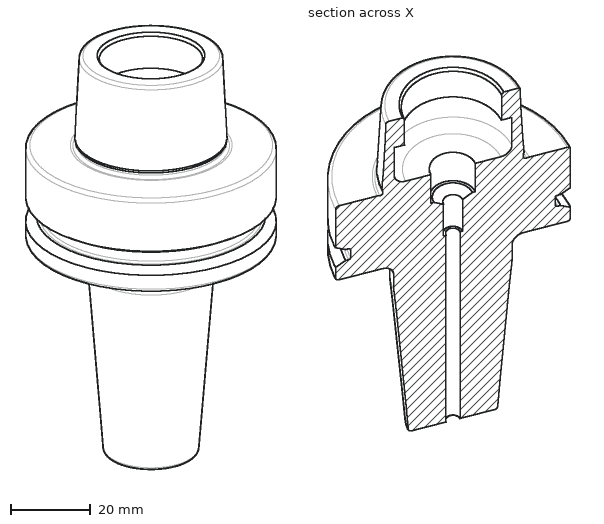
import cadquery as cq
import math

total_height = 110.0
z_top = 25.0
z_bottom = z_top - total_height

flange_diameter = 63.0
flange_radius = flange_diameter / 2
flange_height = 26.0
flange_round = 1.0
groove_radius = 27.5
groove_center_z = -17.8
groove_mouth_width = 6.7
groove_slot_width = 3.6
groove_slot_radius = 28.8
groove_fillet = 0.5

neck_top_radius = 18.0
neck_base_radius = 19.1
neck_top_round = 0.9
neck_taper_end_z = 2.0
relief_radius = 18.9
relief_top_z = 1.3
relief_bottom_z = 0.8
dish_radius = 20.4
dish_inner_radius = 19.7
dish_depth = 0.1

shank_radius = 16.0
shank_tip_radius = 12.0
shank_taper_start_z = -34.1
shank_root_fillet = 3.0
shank_tip_round = 1.0

lip_radius = 13.0
lip_depth = 9.8
lip_chamfer_width = 0.5
lip_chamfer_depth = 0.9
chamber_radius = 15.7
chamber_depth = 22.3
chamber_fillet = 3.0

socket_radius = 5.9
socket_depth = 9.9
funnel_radius = 5.2
funnel_angle = 59.0
pilot_radius = 2.5
pilot_depth = 11.0
through_radius = 1.9


def outer_body():
    """Revolve the outer outline, including the flange groove and rounded rims."""
    diagonal = math.sqrt(0.5)
    groove_mouth_top = groove_center_z + groove_mouth_width / 2
    groove_mouth_bottom = groove_center_z - groove_mouth_width / 2
    slot_top = groove_center_z + groove_slot_width / 2
    slot_bottom = groove_center_z - groove_slot_width / 2
    flange_bottom_z = -flange_height

    root_r = shank_radius + shank_root_fillet
    root_z = flange_bottom_z - shank_root_fillet

    outline = (
        cq.Workplane("XZ")
        .moveTo(0, z_bottom)
        .lineTo(shank_tip_radius, z_bottom)
        .lineTo(shank_radius, shank_taper_start_z)
        .lineTo(shank_radius, root_z)
        .threePointArc(
            (root_r - shank_root_fillet * diagonal, root_z + shank_root_fillet * diagonal),
            (root_r, flange_bottom_z),
        )
        .lineTo(flange_radius, flange_bottom_z)
        .lineTo(flange_radius, groove_mouth_bottom)
        .lineTo(groove_slot_radius, slot_bottom)
        .lineTo(groove_radius, slot_bottom)
        .lineTo(groove_radius, slot_top)
        .lineTo(groove_slot_radius, slot_top)
        .lineTo(flange_radius, groove_mouth_top)
        .lineTo(flange_radius, 0)
        .lineTo(dish_radius, 0)
        .lineTo(dish_inner_radius, -dish_depth)
        .tangentArcPoint((relief_radius, relief_bottom_z), relative=False)
        .lineTo(relief_radius, relief_top_z)
        .lineTo(neck_base_radius, neck_taper_end_z)
        .lineTo(neck_top_radius, z_top)
        .lineTo(0, z_top)
        .close()
    )
    body = outline.revolve(360, (0, 0, 0), (0, 1, 0))
    body = round_rim(body, shank_tip_radius, z_bottom, shank_tip_round)
    body = round_rim(body, flange_radius, flange_bottom_z, flange_round)
    body = round_rim(body, flange_radius, 0, flange_round)
    body = round_rim(body, groove_radius, slot_top, groove_fillet)
    body = round_rim(body, groove_radius, slot_bottom, groove_fillet)
    return round_rim(body, neck_top_radius, z_top, neck_top_round)


def round_rim(body, radius, z, fillet_radius):
    """Fillet the circular edge of the given radius at height z."""
    margin = 0.05
    reach = radius + margin
    rim = cq.selectors.BoxSelector(
        (-reach, -reach, z - margin),
        (reach, reach, z + margin),
        boundingbox=True,
    )
    circles = body.edges("%CIRCLE").edges(rim)
    return circles.edges(cq.selectors.RadiusNthSelector(-1)).fillet(fillet_radius)


def clamping_bore():
    """Chamfered lip opening into a wider flat-floored chamber."""
    lip_z = z_top - lip_depth
    floor_z = z_top - chamber_depth
    lip = (
        cq.Workplane("XZ")
        .moveTo(0, lip_z)
        .lineTo(lip_radius, lip_z)
        .lineTo(lip_radius, z_top - lip_chamfer_depth)
        .lineTo(lip_radius + lip_chamfer_width, z_top)
        .lineTo(0, z_top)
        .close()
        .revolve(360, (0, 0, 0), (0, 1, 0))
    )
    chamber = (
        cq.Workplane("XY", origin=(0, 0, floor_z))
        .circle(chamber_radius)
        .extrude(lip_z - floor_z)
        .faces("<Z")
        .edges()
        .fillet(chamber_fillet)
    )
    return lip.union(chamber)


def center_passage():
    """Socket, funnel, pilot and through hole, narrowing downward."""
    floor_z = z_top - chamber_depth
    socket_z = floor_z - socket_depth
    funnel_z = socket_z - (funnel_radius - pilot_radius) / math.tan(math.radians(funnel_angle))
    pilot_z = funnel_z - pilot_depth
    return (
        cq.Workplane("XZ")
        .moveTo(0, z_bottom)
        .lineTo(through_radius, z_bottom)
        .lineTo(through_radius, pilot_z)
        .lineTo(pilot_radius, pilot_z)
        .lineTo(pilot_radius, funnel_z)
        .lineTo(funnel_radius, socket_z)
        .lineTo(socket_radius, socket_z)
        .lineTo(socket_radius, floor_z)
        .lineTo(0, floor_z)
        .close()
        .revolve(360, (0, 0, 0), (0, 1, 0))
    )


result = outer_body().cut(clamping_bore()).cut(center_passage())